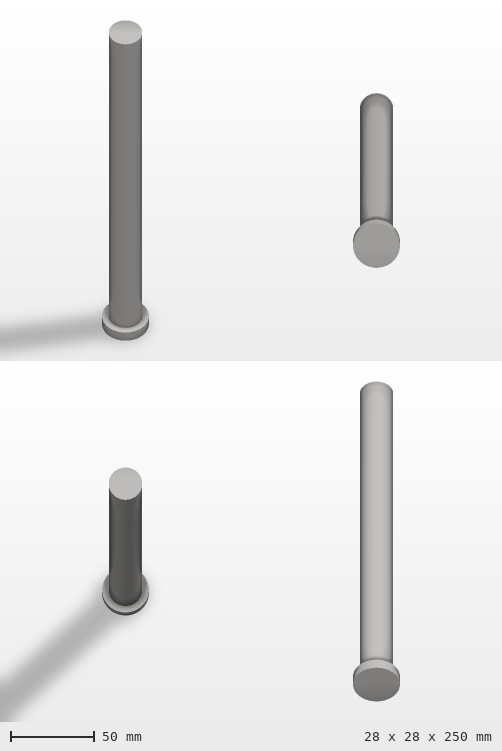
import cadquery as cq

total_length = 250.0
head_diameter = 28.0
head_height = 7.0
shank_diameter = 20.0

head = cq.Workplane("XY").circle(head_diameter / 2).extrude(head_height)
shank = cq.Workplane("XY").circle(shank_diameter / 2).extrude(total_length)

result = head.union(shank)